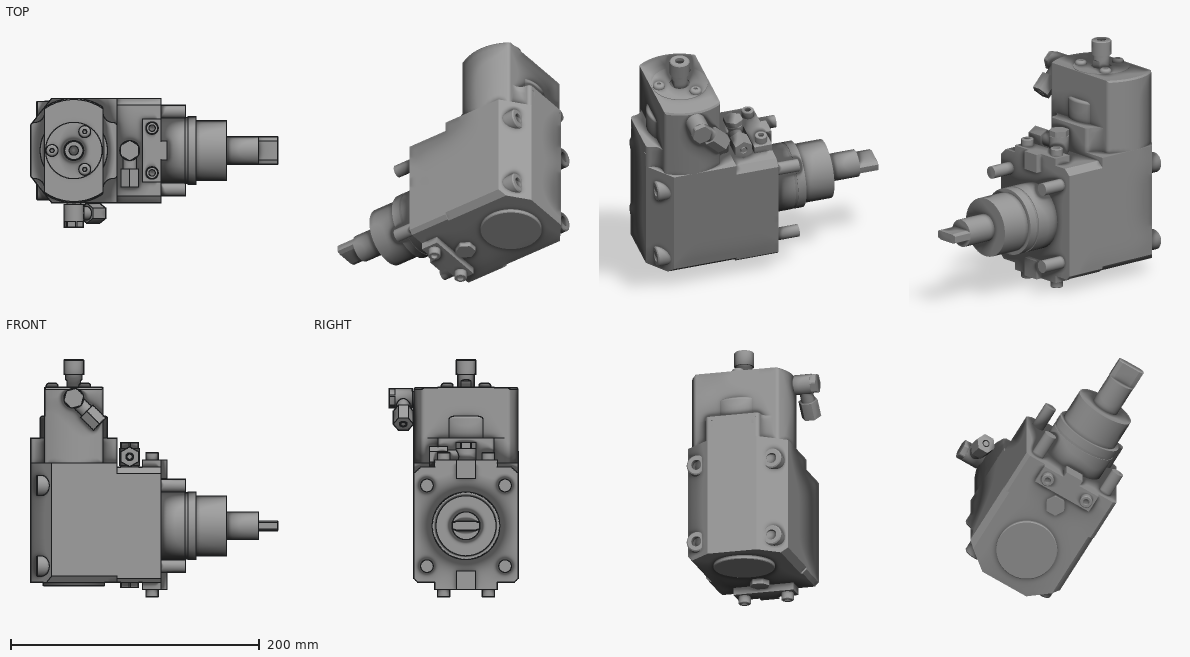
import cadquery as cq
import math


DRILL_POINT_ANGLE = math.radians(118)

STEP_X = 34.8
BODY_BACK = -STEP_X
BODY_FRONT = 70.1
HALF_WIDTH = 42.0
BODY_BOTTOM = -45.4
BODY_TOP = 50.6
SHELF_TOP = 47.1
BACK_FACE_HALF = 20.5
BACK_CORNER_X = -17.8
LONG_BOTTOM_CHAMFER = 5.0
SHORT_BOTTOM_CHAMFER = 3.2
SHELF_CHAMFER_Y = 5.5
SHELF_CHAMFER_Z = 5.0

HEAD_HALF_X = 23.5
HEAD_TOP = 111.1
HEAD_CORNER_RADIUS = 3.5
HEAD_RIM_DROP = 1.5
HEAD_RIM_INSET = 1.0
FLANGE_TOP = 70.4
FLANGE_OVERHANG = 2.0
FLANGE_COVE_RADIUS = 8.0
FLANGE_NOSE_RADIUS = 3.0
NOTCH_WIDTH = 3.2
NOTCH_BOTTOM = 61.8
NOTCH_HEIGHT = 5.1
NOTCH_DEPTH = 0.3
COLLAR_RADIUS = 27.1
COLLAR_TOP = 88.2
COLLAR_FILLET = 2.3
NOSE_RADIUS = 24.7
NOSE_HEIGHT = 3.0
NOSE_CHAMFER = 0.6

COVER_RADIUS = 22.7
COVER_TOP = HEAD_TOP + 0.5
COVER_BOLT_CIRCLE = 17.5
BUTTON_RADIUS = 4.8
BUTTON_FLAT_RADIUS = 3.0
BUTTON_HEIGHT = 3.0
BUTTON_LIP = 0.8
BUTTON_BULGE = 0.35
BUTTON_HEX = 3.2
BUTTON_SOCKET_DEPTH = 1.5
PLUG_TOP = 133.7
PLUG_RADIUS = 8.0
PLUG_CAP_HEIGHT = 12.0
PLUG_CHAMFER = 0.7
PLUG_NECK_RADIUS = 6.7
PLUG_FLAT_HALF = 5.5
PLUG_FLAT_TOP = 116.5
PLUG_BORE_RADIUS = 3.75
PLUG_BORE_DEPTH = 10.0
PLUG_SEAT_DEPTH = 1.0

ELBOW_RADIUS = 8.0
ELBOW_BARREL_START = 1.2
ELBOW_OUTLET_HEIGHT = 8.4
ELBOW_HEX_START = 15.0
ELBOW_TOP = 19.7
ELBOW_HEX_FLATS = 14.4
ELBOW_TUBE_RADIUS = 5.5
ELBOW_EMBED = 3.0
NUT_START = 14.7
NUT_END = 29.4
NUT_FLATS = 14.0
NUT_BORE_RADIUS = 3.1
NUT_BORE_DEPTH = 6.0
NUT_PIN_RADIUS = 2.1
SIDE_ELBOW_Z = 102.5
SIDE_ELBOW_NECK = 5.6
SHELF_ELBOW_X = 44.9
SHELF_ELBOW_NECK = 7.3
DRAIN_PLUG_HEIGHT = 4.2

BOLT_Y = 31.4
BOLT_Z = 32.4
BOLT_RADIUS = 5.1
BOLT_TIP_X = 89.9
BOLT_HEAD_RADIUS = 8.2
BOLT_HEAD_X = -30.1
BOLT_HEAD_LENGTH = 16.0
BOLT_SOCKET_RADIUS = 4.2
BOLT_SOCKET_DEPTH = 5.0
BOLT_HEAD_CHAMFER = 0.9

KEY_BACK_X = 55.2
KEY_TIP_X = 75.0
KEY_HALF_WIDTH = 25.2
KEY_THICKNESS = 5.9
KEY_TONGUE_HALF = 7.5
KEY_TONGUE_LENGTH = 15.0
KEY_SCREW_X = 62.9
KEY_SCREW_Y = 18.0
KEY_SCREW_RADIUS = 5.0
KEY_SCREW_HEIGHT = 6.0
KEY_SOCKET_RADIUS = 2.6
KEY_SOCKET_DEPTH = 4.0
KEY_SCREW_CHAMFER = 0.5

PILOT_RADIUS = 27.2
GROOVE_RADIUS = 26.6
GROOVE_START = 89.4
GROOVE_END = 91.6
PILOT_END = 98.4
SLEEVE_RADIUS = 24.1
SLEEVE_END = 122.9
SHAFT_RADIUS = 11.2
SHAFT_END = 148.5
TANG_END = 164.1
TANG_HALF_THICKNESS = 4.0
TANG_EDGE_HALF = 2.7
TANG_FLAT_HALF = 7.6
TANG_END_CHAMFER = 0.5


def cylinder_z(radius, bottom, top, x=0, y=0):
    return cq.Workplane("XY", origin=(x, y, bottom)).circle(radius).extrude(top - bottom)


def cylinder_x(radius, start, end, y=0, z=0):
    return cq.Workplane("YZ", origin=(start, y, z)).circle(radius).extrude(end - start)


def drill_tip(radius):
    """Cone left by a drill, with its base at the origin and its point on -Z."""
    depth = radius / math.tan(DRILL_POINT_ANGLE / 2)
    return (
        cq.Workplane("XZ")
        .polyline([(0, 0), (radius, 0), (0, -depth)])
        .close()
        .revolve(360, (0, 0, 0), (0, 1, 0))
    )


def box_between(x0, x1, y0, y1, z0, z1):
    return cq.Workplane("XY").box(x1 - x0, y1 - y0, z1 - z0, centered=False).translate((x0, y0, z0))


def hex_corner_diameter(flats):
    return flats / math.cos(math.pi / 6)


def make_body():
    bottom_half = HALF_WIDTH - LONG_BOTTOM_CHAMFER
    rear_section = (
        cq.Workplane("YZ", origin=(BODY_BACK, 0, 0))
        .moveTo(-HALF_WIDTH, BODY_TOP)
        .lineTo(-HALF_WIDTH, BODY_BOTTOM + LONG_BOTTOM_CHAMFER)
        .lineTo(-bottom_half, BODY_BOTTOM)
        .lineTo(bottom_half, BODY_BOTTOM)
        .lineTo(HALF_WIDTH, BODY_BOTTOM + LONG_BOTTOM_CHAMFER)
        .lineTo(HALF_WIDTH, BODY_TOP)
        .close()
        .extrude(STEP_X - BODY_BACK)
    )
    plan = (
        cq.Workplane("XY", origin=(0, 0, BODY_BOTTOM))
        .polyline([
            (BODY_BACK, -BACK_FACE_HALF),
            (BACK_CORNER_X, -HALF_WIDTH),
            (STEP_X, -HALF_WIDTH),
            (STEP_X, HALF_WIDTH),
            (BACK_CORNER_X, HALF_WIDTH),
            (BODY_BACK, BACK_FACE_HALF),
        ])
        .close()
        .extrude(BODY_TOP - BODY_BOTTOM)
    )
    low_half = HALF_WIDTH - SHORT_BOTTOM_CHAMFER
    shelf_half = HALF_WIDTH - SHELF_CHAMFER_Y
    front_section = (
        cq.Workplane("YZ", origin=(STEP_X, 0, 0))
        .polyline([
            (-low_half, BODY_BOTTOM),
            (low_half, BODY_BOTTOM),
            (HALF_WIDTH, BODY_BOTTOM + SHORT_BOTTOM_CHAMFER),
            (HALF_WIDTH, SHELF_TOP - SHELF_CHAMFER_Z),
            (shelf_half, SHELF_TOP),
            (-shelf_half, SHELF_TOP),
            (-HALF_WIDTH, SHELF_TOP - SHELF_CHAMFER_Z),
            (-HALF_WIDTH, BODY_BOTTOM + SHORT_BOTTOM_CHAMFER),
        ])
        .close()
        .extrude(BODY_FRONT - STEP_X)
    )
    nose = cylinder_z(NOSE_RADIUS, BODY_BOTTOM - NOSE_HEIGHT, BODY_BOTTOM)
    nose = nose.faces("<Z").chamfer(NOSE_CHAMFER)
    return rear_section.intersect(plan).union(front_section).union(nose)


def make_head():
    turned = cylinder_z(HALF_WIDTH, BODY_TOP, HEAD_TOP)
    rimmed = turned.faces(">Z").chamfer(HEAD_RIM_DROP, HEAD_RIM_INSET)
    slab = box_between(-HEAD_HALF_X, HEAD_HALF_X, -HALF_WIDTH, HALF_WIDTH, BODY_TOP, HEAD_TOP)
    blank = turned.intersect(slab)
    rounded = blank.edges("|Z").fillet(HEAD_CORNER_RADIUS)
    return rounded.intersect(rimmed)


def make_flange():
    """Square-ended flange joined to the flat head sides by coves and rounded noses."""
    cove_x = HEAD_HALF_X + FLANGE_COVE_RADIUS
    nose_x = STEP_X - FLANGE_NOSE_RADIUS
    cove_bottom_y = BACK_FACE_HALF + FLANGE_OVERHANG
    nose_y = cove_bottom_y - FLANGE_NOSE_RADIUS
    cove_y = cove_bottom_y + FLANGE_COVE_RADIUS
    diagonal = math.sqrt(0.5)
    flange = None
    for side in (1, -1):
        half = cq.Workplane("XY", origin=(0, 0, BODY_TOP)).moveTo(0, -cove_y)
        half = half.lineTo(side * HEAD_HALF_X, -cove_y)
        half = half.threePointArc(
            (side * (cove_x - FLANGE_COVE_RADIUS * diagonal), -cove_y + FLANGE_COVE_RADIUS * diagonal),
            (side * cove_x, -cove_bottom_y),
        )
        half = half.lineTo(side * nose_x, -cove_bottom_y)
        half = half.threePointArc(
            (side * (nose_x + FLANGE_NOSE_RADIUS * diagonal), -nose_y - FLANGE_NOSE_RADIUS * diagonal),
            (side * STEP_X, -nose_y),
        )
        half = half.lineTo(side * STEP_X, 0).lineTo(0, 0).close().extrude(FLANGE_TOP - BODY_TOP)
        half = half.union(half.mirror("XZ"))
        flange = half if flange is None else flange.union(half)
    for side in (1, -1):
        low_y, high_y = sorted((side * (nose_y - NOTCH_WIDTH), side * nose_y))
        flange = flange.cut(box_between(
            BODY_BACK, BODY_BACK + NOTCH_DEPTH,
            low_y, high_y,
            NOTCH_BOTTOM, NOTCH_BOTTOM + NOTCH_HEIGHT,
        ))
    collar = cylinder_z(COLLAR_RADIUS, BODY_TOP, COLLAR_TOP).faces(">Z").edges().fillet(COLLAR_FILLET)
    return flange.union(collar)


def make_button_screw(angle):
    bulge_radius = (BUTTON_RADIUS + BUTTON_FLAT_RADIUS) / 2 + BUTTON_BULGE
    bulge_height = (BUTTON_LIP + BUTTON_HEIGHT) / 2 + BUTTON_BULGE
    head = (
        cq.Workplane("XZ")
        .moveTo(0, 0)
        .lineTo(BUTTON_RADIUS, 0)
        .lineTo(BUTTON_RADIUS, BUTTON_LIP)
        .threePointArc((bulge_radius, bulge_height), (BUTTON_FLAT_RADIUS, BUTTON_HEIGHT))
        .lineTo(0, BUTTON_HEIGHT)
        .close()
        .revolve(360, (0, 0, 0), (0, 1, 0))
    )
    socket = (
        cq.Workplane("XY", origin=(0, 0, BUTTON_HEIGHT - BUTTON_SOCKET_DEPTH))
        .polygon(6, hex_corner_diameter(BUTTON_HEX))
        .extrude(BUTTON_SOCKET_DEPTH)
    )
    tip = drill_tip(BUTTON_HEX / 2).translate((0, 0, BUTTON_HEIGHT - BUTTON_SOCKET_DEPTH))
    x = COVER_BOLT_CIRCLE * math.cos(math.radians(angle))
    y = COVER_BOLT_CIRCLE * math.sin(math.radians(angle))
    return head.cut(socket).cut(tip).translate((x, y, COVER_TOP))


def make_coolant_plug():
    cap_bottom = PLUG_TOP - PLUG_CAP_HEIGHT
    cap = cylinder_z(PLUG_RADIUS, cap_bottom, PLUG_TOP).faces(">Z").chamfer(PLUG_CHAMFER)
    neck = cylinder_z(PLUG_NECK_RADIUS, HEAD_TOP - PLUG_SEAT_DEPTH, cap_bottom)
    runout = PLUG_NECK_RADIUS - PLUG_FLAT_HALF
    for side in (1, -1):
        flat = (
            cq.Workplane("XZ")
            .polyline([
                (side * PLUG_FLAT_HALF, HEAD_TOP - PLUG_SEAT_DEPTH),
                (side * PLUG_FLAT_HALF, PLUG_FLAT_TOP),
                (side * PLUG_NECK_RADIUS, PLUG_FLAT_TOP + runout),
                (side * PLUG_NECK_RADIUS, HEAD_TOP - PLUG_SEAT_DEPTH),
            ])
            .close()
            .extrude(PLUG_NECK_RADIUS, both=True)
        )
        neck = neck.cut(flat)
    bore = cylinder_z(PLUG_BORE_RADIUS, PLUG_TOP - PLUG_BORE_DEPTH, PLUG_TOP)
    return cap.union(neck).cut(bore)


def make_elbow(plane, neck_radius):
    """Swivel elbow standing on the plane, with its outlet along the plane's x direction."""
    neck = cq.Workplane("XY", origin=(0, 0, -ELBOW_EMBED)).circle(neck_radius)
    neck = neck.extrude(ELBOW_EMBED + ELBOW_BARREL_START)
    barrel = cylinder_z(ELBOW_RADIUS, ELBOW_BARREL_START, ELBOW_HEX_START)
    hex_head = (
        cq.Workplane("XY", origin=(0, 0, ELBOW_HEX_START))
        .polygon(6, hex_corner_diameter(ELBOW_HEX_FLATS))
        .extrude(ELBOW_TOP - ELBOW_HEX_START)
        .intersect(cylinder_z(ELBOW_RADIUS, ELBOW_HEX_START, ELBOW_TOP))
    )
    tube = cylinder_x(ELBOW_TUBE_RADIUS, 0, NUT_START, z=ELBOW_OUTLET_HEIGHT)
    nut = (
        cq.Workplane("YZ", origin=(NUT_START, 0, ELBOW_OUTLET_HEIGHT))
        .transformed(rotate=(0, 0, 90))
        .polygon(6, hex_corner_diameter(NUT_FLATS))
        .extrude(NUT_END - NUT_START)
    )
    bore = cylinder_x(NUT_BORE_RADIUS, NUT_END - NUT_BORE_DEPTH, NUT_END, z=ELBOW_OUTLET_HEIGHT)
    pin = cylinder_x(NUT_PIN_RADIUS, NUT_END - NUT_BORE_DEPTH, NUT_END, z=ELBOW_OUTLET_HEIGHT)
    elbow = neck.union(barrel).union(hex_head).union(tube).union(nut).cut(bore).union(pin)
    return cq.Workplane(elbow.val().moved(cq.Location(plane)))


def make_drain_plug():
    return (
        cq.Workplane("XY", origin=(SHELF_ELBOW_X, 0, BODY_BOTTOM - DRAIN_PLUG_HEIGHT))
        .transformed(rotate=(0, 0, 90))
        .polygon(6, hex_corner_diameter(ELBOW_HEX_FLATS))
        .extrude(DRAIN_PLUG_HEIGHT)
        .intersect(cylinder_z(ELBOW_RADIUS, BODY_BOTTOM - DRAIN_PLUG_HEIGHT, BODY_BOTTOM, x=SHELF_ELBOW_X))
    )


def make_mounting_bolt(y, z):
    shank = cylinder_x(BOLT_RADIUS, BODY_FRONT, BOLT_TIP_X, y, z)
    head = cylinder_x(BOLT_HEAD_RADIUS, BOLT_HEAD_X, BOLT_HEAD_X + BOLT_HEAD_LENGTH, y, z)
    head = head.faces("<X").chamfer(BOLT_HEAD_CHAMFER)
    socket = cylinder_x(BOLT_SOCKET_RADIUS, BOLT_HEAD_X, BOLT_HEAD_X + BOLT_SOCKET_DEPTH, y, z)
    tip = drill_tip(BOLT_SOCKET_RADIUS).rotate((0, 0, 0), (0, 1, 0), -90)
    tip = tip.translate((BOLT_HEAD_X + BOLT_SOCKET_DEPTH, y, z))
    return shank.union(head.cut(socket).cut(tip))


def make_key(face_z, outward):
    """Locating key on a horizontal body face; outward is +1 above the body and -1 below."""
    outer_z = face_z + outward * KEY_THICKNESS
    tongue_z = outer_z - outward * KEY_TONGUE_LENGTH
    low, high = sorted((face_z, outer_z))
    key = box_between(KEY_BACK_X, BODY_FRONT, -KEY_HALF_WIDTH, KEY_HALF_WIDTH, low, high)
    low, high = sorted((tongue_z, outer_z))
    key = key.union(box_between(BODY_FRONT, KEY_TIP_X, -KEY_TONGUE_HALF, KEY_TONGUE_HALF, low, high))
    screw_end = outer_z + outward * KEY_SCREW_HEIGHT
    socket_end = screw_end - outward * KEY_SOCKET_DEPTH
    tip = drill_tip(KEY_SOCKET_RADIUS)
    if outward < 0:
        tip = tip.mirror("XY")
    for y in (-KEY_SCREW_Y, KEY_SCREW_Y):
        low, high = sorted((outer_z, screw_end))
        screw = cylinder_z(KEY_SCREW_RADIUS, low, high, KEY_SCREW_X, y)
        screw = screw.faces(">Z" if outward > 0 else "<Z").chamfer(KEY_SCREW_CHAMFER)
        low, high = sorted((socket_end, screw_end))
        screw = screw.cut(cylinder_z(KEY_SOCKET_RADIUS, low, high, KEY_SCREW_X, y))
        screw = screw.cut(tip.translate((KEY_SCREW_X, y, socket_end)))
        key = key.union(screw)
    return key


def make_drive():
    turned = (
        cq.Workplane("XY")
        .polyline([
            (BODY_FRONT, 0),
            (BODY_FRONT, PILOT_RADIUS),
            (GROOVE_START, PILOT_RADIUS),
            (GROOVE_START, GROOVE_RADIUS),
            (GROOVE_END, GROOVE_RADIUS),
            (GROOVE_END, PILOT_RADIUS),
            (PILOT_END, PILOT_RADIUS),
            (PILOT_END, SLEEVE_RADIUS),
            (SLEEVE_END, SLEEVE_RADIUS),
            (SLEEVE_END, SHAFT_RADIUS),
            (SHAFT_END, SHAFT_RADIUS),
            (SHAFT_END, 0),
        ])
        .close()
        .revolve(360, (0, 0, 0), (1, 0, 0))
    )
    tang = (
        cq.Workplane("YZ", origin=(SHAFT_END, 0, 0))
        .polyline([
            (-SHAFT_RADIUS, -TANG_EDGE_HALF),
            (-TANG_FLAT_HALF, -TANG_HALF_THICKNESS),
            (TANG_FLAT_HALF, -TANG_HALF_THICKNESS),
            (SHAFT_RADIUS, -TANG_EDGE_HALF),
            (SHAFT_RADIUS, TANG_EDGE_HALF),
            (TANG_FLAT_HALF, TANG_HALF_THICKNESS),
            (-TANG_FLAT_HALF, TANG_HALF_THICKNESS),
            (-SHAFT_RADIUS, TANG_EDGE_HALF),
        ])
        .close()
        .extrude(TANG_END - SHAFT_END)
        .faces(">X")
        .chamfer(TANG_END_CHAMFER)
    )
    return turned.union(tang)


housing = make_body().union(make_head()).union(make_flange())
cover = cylinder_z(COVER_RADIUS, HEAD_TOP, COVER_TOP)
plug_seat = cylinder_z(PLUG_RADIUS, COVER_TOP - PLUG_SEAT_DEPTH, COVER_TOP)
result = housing.union(cover).cut(plug_seat).union(make_coolant_plug())

for screw_angle in (60, 180, 300):
    result = result.union(make_button_screw(screw_angle))

side_plane = cq.Plane(origin=(0, -HALF_WIDTH, SIDE_ELBOW_Z), xDir=(1, 0, -1), normal=(0, -1, 0))
shelf_plane = cq.Plane(origin=(SHELF_ELBOW_X, 0, SHELF_TOP), xDir=(0, -1, 0), normal=(0, 0, 1))
result = result.union(make_elbow(side_plane, SIDE_ELBOW_NECK))
result = result.union(make_elbow(shelf_plane, SHELF_ELBOW_NECK))
result = result.union(make_drain_plug())

for bolt_y in (-BOLT_Y, BOLT_Y):
    for bolt_z in (-BOLT_Z, BOLT_Z):
        result = result.union(make_mounting_bolt(bolt_y, bolt_z))

result = result.union(make_key(SHELF_TOP, 1)).union(make_key(BODY_BOTTOM, -1)).union(make_drive())